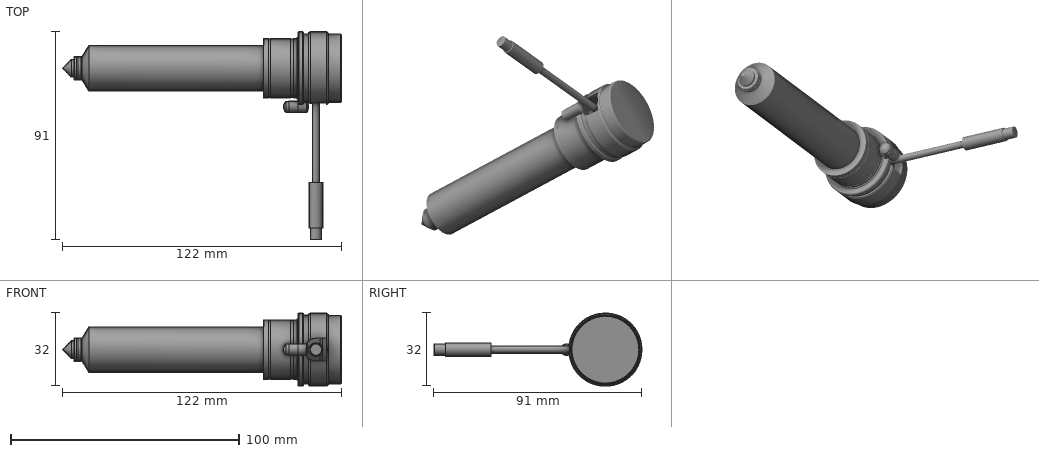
import cadquery as cq
import math


total_length = 122.0
tip_cone_end = 3.8
tip_collar_front = 4.9
tip_groove_front = 6.0
tip_groove_back = 6.8
tip_collar_back = 8.1
nose_cone_front = 8.45
tube_front = 11.5
sleeve_front = 88.0
sleeve_lip_front = 102.5
flange_front = 103.0
flange_back = 105.5
ring_front = 107.7
ring_back = 116.3

tip_radius = 3.9
tip_collar_radius = 5.15
tube_radius = 10.0
sleeve_radius = 13.0
sleeve_lip_radius = 13.4
neck_radius = 15.1
cap_radius = 15.05
ring_radius = 16.0
tip_relief = 0.1
tip_edge_length = 0.3
tip_edge_height = 0.4

flange_chamfer = 0.4
ring_front_chamfer_length = 0.8
ring_front_chamfer_height = 0.4
ring_back_chamfer = 0.7
cap_chamfer = 0.4

sleeve_grooves = [(90.1, 91.0), (99.8, 101.0)]
sleeve_groove_depth = 0.1

cable_x = 110.9
cable_radius = 1.6
cable_inner_end = 8.0
plug_radius = 3.0
plug_start = 50.0
plug_tip_radius = 2.5
plug_tip_start = 70.0
plug_tip_end = 75.0

slot_radius = 5.0
slot_core_radius = 10.5
slot_shelf_radius = 12.0
slot_core_end = 112.7
slot_shelf_start = 113.8
slot_end = ring_back - ring_back_chamfer

pin_offset = 16.9
pin_front = 96.7
pin_nose_start = 97.8
pin_shank_start = 99.0
pin_back_end = 106.8
pin_back = 107.6
pin_nose_radius = 2.45
pin_shank_radius = 2.5
pin_head_radius = 2.55
notch_floor = 13.9


def turn_about_x(profile):
    """Revolve a closed profile drawn in XY (Y is the radius) about the X axis."""
    return profile.close().revolve(360, (0, 0, 0), (1, 0, 0))


def cylinder_along_y(x, radius, inner, outer):
    """Cylinder whose axis points to -Y, between two distances from the X axis."""
    return cq.Workplane("XZ", origin=(x, -inner, 0)).circle(radius).extrude(outer - inner)


def make_probe_blank():
    tip_relief_radius = tip_collar_radius - tip_relief
    profile = (
        cq.Workplane("XY")
        .moveTo(0, 0)
        .lineTo(tip_cone_end, tip_radius)
        .lineTo(tip_collar_front, tip_radius)
        .lineTo(tip_collar_front, tip_collar_radius - tip_edge_height)
        .lineTo(tip_collar_front + tip_edge_length, tip_collar_radius)
        .lineTo(tip_groove_front, tip_collar_radius)
        .lineTo(tip_groove_front, tip_relief_radius)
        .lineTo(tip_groove_back, tip_relief_radius)
        .lineTo(tip_groove_back, tip_collar_radius)
        .lineTo(tip_collar_back, tip_collar_radius)
        .lineTo(tip_collar_back, tip_relief_radius)
        .lineTo(nose_cone_front, tip_relief_radius)
        .lineTo(tube_front, tube_radius)
        .lineTo(sleeve_front, tube_radius)
        .lineTo(sleeve_front, sleeve_radius)
        .lineTo(sleeve_lip_front, sleeve_radius)
        .lineTo(sleeve_lip_front, sleeve_lip_radius)
        .lineTo(flange_front, sleeve_lip_radius)
        .lineTo(flange_front, ring_radius - flange_chamfer)
        .lineTo(flange_front + flange_chamfer, ring_radius)
        .lineTo(flange_back - flange_chamfer, ring_radius)
        .lineTo(flange_back, ring_radius - flange_chamfer)
        .lineTo(flange_back, neck_radius)
        .lineTo(ring_front, neck_radius)
        .lineTo(ring_front, ring_radius - ring_front_chamfer_height)
        .lineTo(ring_front + ring_front_chamfer_length, ring_radius)
        .lineTo(ring_back - ring_back_chamfer, ring_radius)
        .lineTo(ring_back, ring_radius - ring_back_chamfer)
        .lineTo(ring_back, 0)
    )
    return turn_about_x(profile)


def make_sleeve_groove(front, back):
    bottom = sleeve_radius - sleeve_groove_depth
    width = back - front
    plane = cq.Workplane("YZ", origin=(front, 0, 0))
    return plane.circle(sleeve_radius).circle(bottom).extrude(width)


def make_cable_slot():
    """Slot with one round end, cut down to a stepped core that stays standing inside."""
    straight_length = slot_end - cable_x
    slot = cylinder_along_y(cable_x, slot_radius, 0, ring_radius)
    straight = cq.Workplane("XY").box(
        straight_length, ring_radius, 2 * slot_radius, centered=(False, False, True)
    )
    slot = slot.union(straight.translate((cable_x, -ring_radius, 0)))
    core_front = cable_x - slot_radius
    core = turn_about_x(
        cq.Workplane("XY")
        .moveTo(core_front, 0)
        .lineTo(core_front, slot_core_radius)
        .lineTo(slot_core_end, slot_core_radius)
        .lineTo(slot_shelf_start, slot_shelf_radius)
        .lineTo(slot_end, slot_shelf_radius)
        .lineTo(slot_end, 0)
    )
    return slot.cut(core)


def make_pin_notch():
    """Flat-bottomed notch through the flange that the pin head lies in."""
    length = pin_back_end - flange_front
    height = pin_offset - notch_floor
    notch = cq.Workplane("XY").box(
        length, height, 2 * pin_head_radius, centered=(False, False, True)
    )
    return notch.translate((flange_front, -pin_offset, 0))


def dome_half_height_radius(base_radius, height):
    """Radius of a spherical dome halfway between its base and its apex."""
    sphere_radius = (base_radius**2 + height**2) / (2 * height)
    return math.sqrt(height * sphere_radius - height**2 / 4)


def make_pin():
    nose_height = pin_nose_start - pin_front
    back_height = pin_back - pin_back_end
    nose_mid = (pin_front + nose_height / 2, dome_half_height_radius(pin_nose_radius, nose_height))
    back_mid = (pin_back - back_height / 2, dome_half_height_radius(pin_head_radius, back_height))
    profile = (
        cq.Workplane("XY")
        .moveTo(pin_front, 0)
        .threePointArc(nose_mid, (pin_nose_start, pin_nose_radius))
        .lineTo(pin_shank_start, pin_nose_radius)
        .lineTo(pin_shank_start, pin_shank_radius)
        .lineTo(flange_front, pin_shank_radius)
        .lineTo(flange_front, pin_head_radius)
        .lineTo(pin_back_end, pin_head_radius)
        .threePointArc(back_mid, (pin_back, 0))
    )
    return turn_about_x(profile).translate((0, -pin_offset, 0))


def make_cable():
    cable = cylinder_along_y(cable_x, cable_radius, cable_inner_end, plug_start)
    plug = cylinder_along_y(cable_x, plug_radius, plug_start, plug_tip_start)
    plug_tip = cylinder_along_y(cable_x, plug_tip_radius, plug_tip_start, plug_tip_end)
    return cable.union(plug).union(plug_tip)


def make_cap():
    plane = cq.Workplane("YZ", origin=(ring_back, 0, 0))
    cap = plane.circle(cap_radius).extrude(total_length - ring_back)
    return cap.faces(">X").chamfer(cap_chamfer)


pin = make_pin()
cable = make_cable()
cap = make_cap()

probe = make_probe_blank()
for groove_front, groove_back in sleeve_grooves:
    probe = probe.cut(make_sleeve_groove(groove_front, groove_back))
probe = probe.cut(make_cable_slot()).cut(make_pin_notch()).cut(pin).cut(cable)

result = cq.Compound.makeCompound([probe.val(), cap.val(), pin.val(), cable.val()])